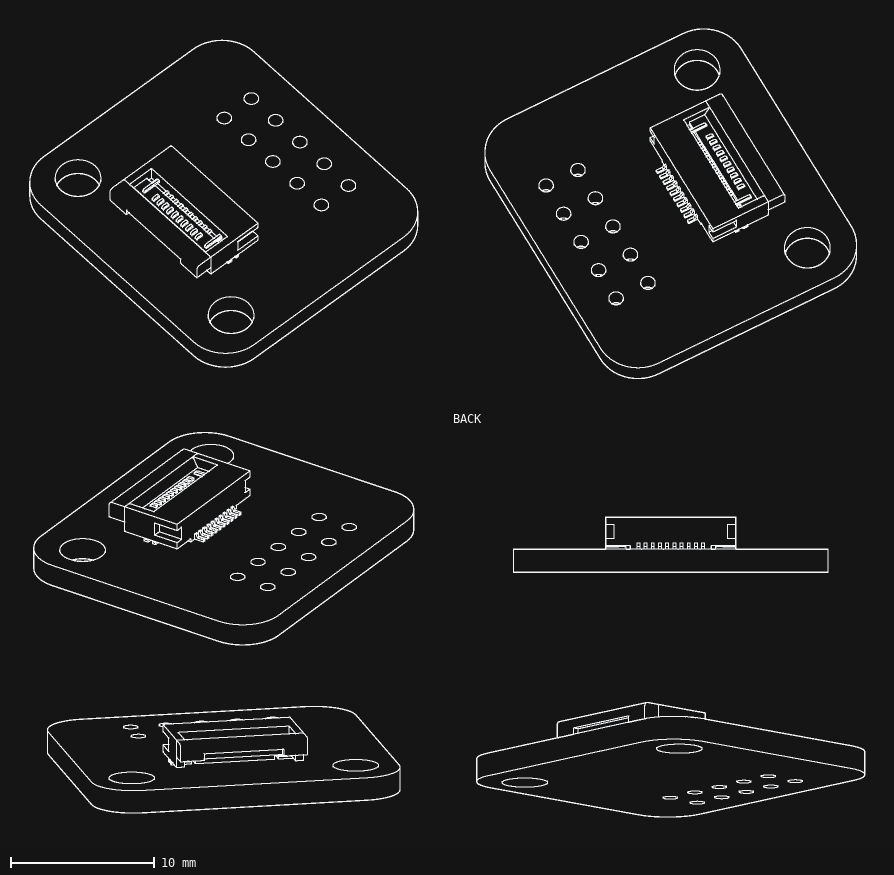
import cadquery as cq


BOARD_LENGTH = 22.0
BOARD_WIDTH = 20.0
BOARD_THICKNESS = 1.63
BOARD_CORNER_RADIUS = 3.0
MOUNT_HOLE_DIAMETER = 3.2
MOUNT_HOLE_X = 8.0
MOUNT_HOLE_Y = -6.5
PIN_HOLE_DIAMETER = 1.01
PIN_HOLE_COLUMNS = 5
PIN_HOLE_ROW_SPAN = 10.16
PIN_HOLE_PITCH = PIN_HOLE_ROW_SPAN / (PIN_HOLE_COLUMNS - 1)
PIN_HOLE_ROWS = 2
PIN_HOLE_CENTRE_Y = 5.87

OVERALL_HEIGHT = 3.85
CONNECTOR_TOP = OVERALL_HEIGHT - BOARD_THICKNESS
CONNECTOR_WIDTH = 9.09
CONNECTOR_HALF = CONNECTOR_WIDTH / 2
ARM_THICKNESS = 0.57
CAVITY_HALF = CONNECTOR_HALF - ARM_THICKNESS

HOUSING_REAR = -0.85
HOUSING_FRONT = -5.28
HOUSING_BOTTOM = 0.25
CAVITY_REAR = -3.21
LEDGE_FRONT = -3.65
LEDGE_TOP = 1.1
FOOT_WIDTH = 5.68
SIDE_SLOT_FRONT = -2.75
SIDE_SLOT_BOTTOM = 0.75
SIDE_SLOT_TOP = 1.72

TAB_INNER_X = 3.12
TAB_REAR = -2.68
TAB_TOP = 0.165
TAB_SLOT_REAR = -2.93
TAB_SLOT_FRONT = -3.3
TAB_SLOT_DEPTH = 0.88
TAB_NECK_WIDTH = 0.45

CONTACT_COUNT = 10
CONTACT_SPAN = 4.5
CONTACT_PITCH = CONTACT_SPAN / (CONTACT_COUNT - 1)
CONTACT_WIDTH = 0.2
TAIL_THICKNESS = TAB_TOP
TAIL_REAR = -0.13
TAIL_FOOT_FRONT = -0.62
TAIL_BEND_FRONT = -0.75
TAIL_TOP = 0.42
BEAM_BOTTOM = 1.15
BEAM_TOP = 1.25
TIP_REAR = -4.11
TIP_FRONT = -4.62
TIP_TOP = 1.65
TIP_RADIUS = 0.2

FINGER_X = 3.23
FINGER_WIDTH = 0.2
FINGER_BOTTOM = 1.43
FINGER_TOP = 1.65
FINGER_ROOT_TOP = 1.56
FINGER_ROOT_OUTER_X = 3.4

SLIDER_FRONT = -6.6
SLIDER_BOTTOM = 1.0
SLIDER_EDGE_RADIUS = 0.29
TONGUE_TOP = 1.47
SLOPE_REAR = -4.88
NOTCH_WIDTH = FOOT_WIDTH
NOTCH_TOP = 1.47
NOTCH_DEPTH = 0.45


def block(x_range, y_range, z_range):
    """Box between two values along each axis."""
    size = [max(r) - min(r) for r in (x_range, y_range, z_range)]
    corner = (min(x_range), min(y_range), min(z_range))
    return cq.Workplane("XY").box(*size, centered=False).translate(corner)


def mirrored_pair(shape):
    """The shape together with its mirror image across the YZ plane."""
    return shape.union(shape.mirror("YZ"))


def extrude_profile(outline, x_centre, width):
    """Closed YZ outline extruded along X, centred on x_centre."""
    profile = cq.Workplane("YZ", origin=(x_centre - width / 2, 0, 0))
    return profile.polyline(outline).close().extrude(width)


def make_board():
    plate = (
        cq.Workplane("XY", origin=(0, 0, -BOARD_THICKNESS))
        .rect(BOARD_LENGTH, BOARD_WIDTH)
        .extrude(BOARD_THICKNESS)
        .edges("|Z")
        .fillet(BOARD_CORNER_RADIUS)
    )
    mount_points = [(-MOUNT_HOLE_X, MOUNT_HOLE_Y), (MOUNT_HOLE_X, MOUNT_HOLE_Y)]
    mount_holes = (
        cq.Workplane("XY", origin=(0, 0, -BOARD_THICKNESS))
        .pushPoints(mount_points)
        .circle(MOUNT_HOLE_DIAMETER / 2)
        .extrude(BOARD_THICKNESS)
    )
    pin_holes = (
        cq.Workplane("XY", origin=(0, PIN_HOLE_CENTRE_Y, -BOARD_THICKNESS))
        .rarray(PIN_HOLE_PITCH, PIN_HOLE_PITCH, PIN_HOLE_COLUMNS, PIN_HOLE_ROWS)
        .circle(PIN_HOLE_DIAMETER / 2)
        .extrude(BOARD_THICKNESS)
    )
    return plate.cut(mount_holes).cut(pin_holes)


def make_housing_shell():
    """Housing block with an open front, a rear ledge and a foot that rests on the board."""
    shell = block(
        (-CONNECTOR_HALF, CONNECTOR_HALF), (HOUSING_FRONT, HOUSING_REAR), (HOUSING_BOTTOM, CONNECTOR_TOP)
    )
    front_opening = block(
        (-CAVITY_HALF, CAVITY_HALF), (HOUSING_FRONT, LEDGE_FRONT), (HOUSING_BOTTOM, CONNECTOR_TOP)
    )
    above_ledge = block(
        (-CAVITY_HALF, CAVITY_HALF), (LEDGE_FRONT, CAVITY_REAR), (LEDGE_TOP, CONNECTOR_TOP)
    )
    side_slot = block(
        (CAVITY_HALF, CONNECTOR_HALF), (SIDE_SLOT_FRONT, HOUSING_REAR), (SIDE_SLOT_BOTTOM, SIDE_SLOT_TOP)
    )
    foot = block((-FOOT_WIDTH / 2, FOOT_WIDTH / 2), (LEDGE_FRONT, HOUSING_REAR), (0, HOUSING_BOTTOM))
    return shell.cut(front_opening).cut(above_ledge).cut(mirrored_pair(side_slot)).union(foot)


def make_solder_tab():
    """Two-pronged tab on the +X side, joined to the housing by a neck at its inner part."""
    tab = block((TAB_INNER_X, CONNECTOR_HALF), (LEDGE_FRONT, TAB_REAR), (0, TAB_TOP))
    slot_inner_x = CONNECTOR_HALF - TAB_SLOT_DEPTH
    slot = block((slot_inner_x, CONNECTOR_HALF), (TAB_SLOT_FRONT, TAB_SLOT_REAR), (0, TAB_TOP))
    neck = block(
        (slot_inner_x - TAB_NECK_WIDTH, slot_inner_x),
        (TAB_SLOT_FRONT, TAB_SLOT_REAR),
        (TAB_TOP, HOUSING_BOTTOM),
    )
    return tab.cut(slot).union(neck)


def make_contact(x_centre):
    """Solder tail behind the housing and a sprung beam with a rounded tip in the cavity."""
    tail_outline = [
        (TAIL_REAR, 0),
        (TAIL_REAR, TAIL_THICKNESS),
        (TAIL_FOOT_FRONT, TAIL_THICKNESS),
        (TAIL_BEND_FRONT, TAIL_TOP),
        (HOUSING_REAR, TAIL_TOP),
        (HOUSING_REAR, 0),
    ]
    beam_outline = [
        (CAVITY_REAR, BEAM_BOTTOM),
        (CAVITY_REAR, BEAM_TOP),
        (TIP_REAR, BEAM_TOP),
        (TIP_REAR, TIP_TOP),
        (TIP_FRONT, TIP_TOP),
        (TIP_FRONT, BEAM_BOTTOM),
    ]
    tail = extrude_profile(tail_outline, x_centre, CONTACT_WIDTH)
    beam = extrude_profile(beam_outline, x_centre, CONTACT_WIDTH)
    beam = beam.faces("<Y").edges(">Z").fillet(TIP_RADIUS)
    return tail, beam


def make_latch_finger():
    """Finger on the +X side with a rounded end and a wider, lower root at the cavity wall."""
    inner_x = FINGER_X - FINGER_WIDTH / 2
    outer_x = FINGER_X + FINGER_WIDTH / 2
    finger = block((inner_x, outer_x), (TIP_FRONT, CAVITY_REAR), (FINGER_BOTTOM, FINGER_TOP))
    finger = finger.faces("<Y").edges(">Z").fillet(TIP_RADIUS)
    root = block(
        (inner_x, FINGER_ROOT_OUTER_X),
        (LEDGE_FRONT, CAVITY_REAR),
        (FINGER_BOTTOM, FINGER_ROOT_TOP),
    )
    return finger.union(root)


def make_housing():
    housing = make_housing_shell()
    housing = housing.union(mirrored_pair(make_solder_tab()))
    housing = housing.union(mirrored_pair(make_latch_finger()))
    for index in range(CONTACT_COUNT):
        x_centre = (index - (CONTACT_COUNT - 1) / 2) * CONTACT_PITCH
        tail, beam = make_contact(x_centre)
        housing = housing.union(tail).union(beam)
    return housing


def make_slider(housing):
    """Full-width head and a narrower tongue, with a slope between their top faces."""
    head = block(
        (-CONNECTOR_HALF, CONNECTOR_HALF), (SLIDER_FRONT, HOUSING_FRONT), (SLIDER_BOTTOM, CONNECTOR_TOP)
    )
    head = head.faces("<Y").edges(">Z").fillet(SLIDER_EDGE_RADIUS)
    tongue_outline = [
        (HOUSING_FRONT, SLIDER_BOTTOM),
        (HOUSING_FRONT, CONNECTOR_TOP),
        (SLOPE_REAR, TONGUE_TOP),
        (LEDGE_FRONT, TONGUE_TOP),
        (LEDGE_FRONT, SLIDER_BOTTOM),
    ]
    tongue = extrude_profile(tongue_outline, 0, 2 * CAVITY_HALF)
    notch = block(
        (-NOTCH_WIDTH / 2, NOTCH_WIDTH / 2),
        (SLIDER_FRONT, SLIDER_FRONT + NOTCH_DEPTH),
        (SLIDER_BOTTOM, NOTCH_TOP),
    )
    return head.union(tongue).cut(notch).cut(housing)


board = make_board()
housing = make_housing()
slider = make_slider(housing)

result = cq.Compound.makeCompound([board.val(), housing.val(), slider.val()])